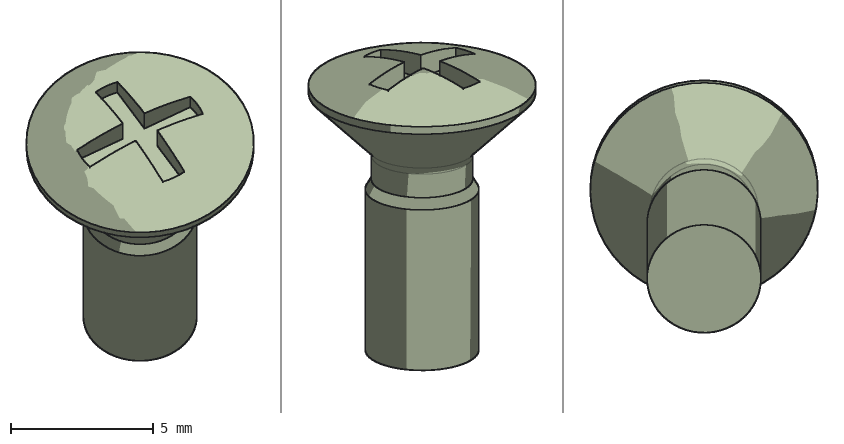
import cadquery as cq
import math

height = 10.88

head_radius = 3.998
rim_top = 10.0
rim_thickness = 0.28
rim_bottom = rim_top - rim_thickness

neck_radius = 1.78
neck_bottom = 6.44
neck_fillet = 0.39
shank_radius = 2.0
shoulder_angle = 30.0

slot_width = 0.88
recess_radius = 2.35
recess_floor = rim_top

corner_radius = slot_width / math.sqrt(2)
dome_center = (
    (height**2 + corner_radius**2 - rim_top**2 - head_radius**2)
    / (2 * (height - rim_top))
)
dome_radius = math.hypot(head_radius, rim_top - dome_center)
dome_apex = dome_center + dome_radius
dome_mid_radius = head_radius / 2
dome_mid_height = dome_center + math.sqrt(dome_radius**2 - dome_mid_radius**2)

blend_angle = math.radians(45)
cone_end_radius = neck_radius + neck_fillet * (1 - math.cos(blend_angle))
cone_end_height = rim_bottom - (head_radius - cone_end_radius)
neck_top = cone_end_height - neck_fillet * math.sin(blend_angle)
blend_mid = (
    neck_radius + neck_fillet * (1 - math.cos(blend_angle / 2)),
    neck_top + neck_fillet * math.sin(blend_angle / 2),
)

shoulder_drop = (shank_radius - neck_radius) / math.tan(math.radians(shoulder_angle))
shank_top = neck_bottom - shoulder_drop


def screw_body():
    """Revolve the half profile around the Z axis."""
    return (
        cq.Workplane("XZ")
        .lineTo(shank_radius, 0)
        .lineTo(shank_radius, shank_top)
        .lineTo(neck_radius, neck_bottom)
        .lineTo(neck_radius, neck_top)
        .threePointArc(blend_mid, (cone_end_radius, cone_end_height))
        .lineTo(head_radius, rim_bottom)
        .lineTo(head_radius, rim_top)
        .threePointArc((dome_mid_radius, dome_mid_height), (0, dome_apex))
        .close()
        .revolve(360, (0, 0, 0), (0, 1, 0))
    )


def cross_recess():
    """Flat-floored cross whose arm ends are rounded about the screw axis."""
    depth = 2 * (dome_apex - recess_floor)
    base = cq.Workplane("XY").workplane(offset=recess_floor)
    slot_length = 2 * recess_radius
    slot_x = base.rect(slot_length, slot_width).extrude(depth)
    slot_y = base.rect(slot_width, slot_length).extrude(depth)
    return slot_x.union(slot_y).intersect(base.circle(recess_radius).extrude(depth))


result = screw_body().cut(cross_recess())